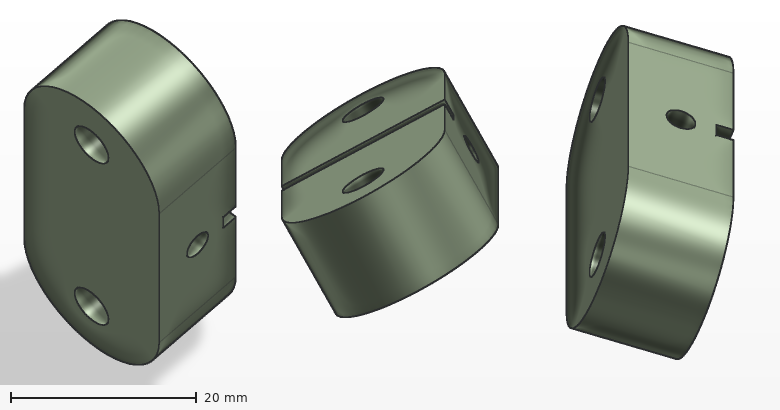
import cadquery as cq

length = 44.0
width = 20.0
thickness = 12.0

mount_hole_diameter = 5.0
mount_hole_spacing = 30.0
cross_hole_diameter = 3.3
groove_size = 2.0

block = cq.Workplane("XZ").slot2D(length, width, 90).extrude(thickness / 2, both=True)

mount_holes = (
    cq.Workplane("XZ")
    .rarray(0.45, mount_hole_spacing, 1, 2)
    .circle(mount_hole_diameter / 2)
    .extrude(thickness, both=True)
)

cross_hole = cq.Workplane("YZ").circle(cross_hole_diameter / 2).extrude(width, both=True)

groove = cq.Workplane("XY").box(width, groove_size, groove_size).translate(
    (0, (thickness - groove_size) / 2, 0)
)

result = block.cut(mount_holes).cut(cross_hole).cut(groove)